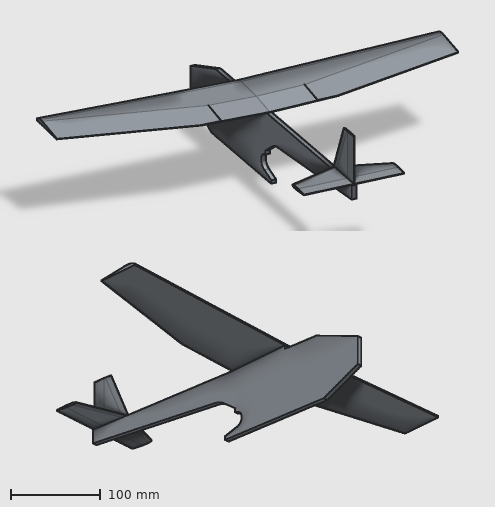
import cadquery as cq
import math

LENGTH = 400.0
FUSELAGE_THICKNESS = 6.0
BOTTOM_Z = -82.5
NOSE_TOP_Z = -22.5
NOSE_BOTTOM_Z = -57.5
NOSE_TOP_RUN = 62.5
NOSE_BOTTOM_RUN = 51.5
TAIL_END_Z = -17.0
BOOM_START = (216.0, -31.0)
BOOM_BEND = (202.0, -36.0)
BOOM_BEND_MIDDLE = (208.5, -32.5)
GRIP_X = 185.5
GRIP_Z = -63.0
GRIP_RADIUS = 10.0
GRIP_STEP_Z = -48.0
GRIP_END = (183.0, -72.5)
HEEL_X = 200.5
HEEL_HEIGHT = 4.5

HALF_SPAN = 250.0
WING_X = 110.0
WING_CHORD = 80.0
TIP_CHORD = 50.5
WING_THICKNESS = 5.0
TRAILING_THICKNESS = 1.0
NOSE_RADIUS = 15.0
NOSE_LENGTH = 9.0
RIDGE_ROOT = 47.0
RIDGE_TIP = 13.0
TAPER_Y = 60.0
ROOT_EXCESS = 5.0
WEDGE_REACH = 2.0
INCIDENCE = 3.0
DIHEDRAL = 1.5

TAIL_X = 350.0
TAIL_REAR_RIDGE_X = 385.0
STAB_THICKNESS = 3.0
STAB_HALF_SPAN = 62.5
STAB_TIP_X = 371.0
STAB_BEVEL = 4.5
FIN_THICKNESS = 2.0
FIN_HEIGHT = 57.5
FIN_TIP_X = 375.0
FIN_BEVEL = 8.25
EDGE_THICKNESS = 1.0

wing_rise = WING_CHORD * math.sin(math.radians(INCIDENCE))
wing_run = WING_CHORD * math.cos(math.radians(INCIDENCE))
half_length = HALF_SPAN / math.cos(math.radians(DIHEDRAL))


def make_fuselage():
    """Plate with a raised wing seat, a finger notch and a tapering tail boom."""
    return (
        cq.Workplane("XZ")
        .moveTo(0, NOSE_TOP_Z)
        .lineTo(NOSE_TOP_RUN, 0)
        .lineTo(WING_X, 0)
        .lineTo(WING_X, wing_rise)
        .lineTo(WING_X + wing_run, 0)
        .lineTo(LENGTH, 0)
        .lineTo(LENGTH, TAIL_END_Z)
        .lineTo(*BOOM_START)
        .threePointArc(BOOM_BEND_MIDDLE, BOOM_BEND)
        .lineTo(GRIP_X, GRIP_STEP_Z)
        .lineTo(GRIP_X, GRIP_Z + GRIP_RADIUS)
        .threePointArc((GRIP_X - GRIP_RADIUS, GRIP_Z), GRIP_END)
        .lineTo(HEEL_X, BOTTOM_Z + HEEL_HEIGHT)
        .lineTo(HEEL_X, BOTTOM_Z)
        .lineTo(NOSE_BOTTOM_RUN, BOTTOM_Z)
        .lineTo(0, NOSE_BOTTOM_Z)
        .close()
        .extrude(FUSELAGE_THICKNESS / 2, both=True)
    )


def rear_wedge(ridge_start, ridge_end, start_y, end_y, rear_run):
    """Material above the rear panel, which falls from the ridge over rear_run."""
    drop = WING_THICKNESS - TRAILING_THICKNESS

    def outline(ridge, y):
        far_x = ridge + WEDGE_REACH * rear_run
        low_z = WING_THICKNESS - WEDGE_REACH * drop
        corners = [(ridge, y, WING_THICKNESS), (far_x, y, WING_THICKNESS), (far_x, y, low_z)]
        return cq.Wire.makePolygon([cq.Vector(*corner) for corner in corners], close=True)

    return cq.Solid.makeLoft([outline(ridge_start, start_y), outline(ridge_end, end_y)], True)


def make_wing_half():
    """The +Y half: a round-nosed slab, tapered in plan, with a sloping rear panel."""
    half_angle = math.asin(NOSE_LENGTH / NOSE_RADIUS) / 2
    nose_height = WING_THICKNESS - NOSE_RADIUS * (1 - math.cos(2 * half_angle))
    nose_middle = (
        NOSE_LENGTH - NOSE_RADIUS * math.sin(half_angle),
        WING_THICKNESS - NOSE_RADIUS * (1 - math.cos(half_angle)),
    )
    slab = (
        cq.Workplane("XZ", origin=(0, -ROOT_EXCESS, 0))
        .lineTo(WING_CHORD, 0)
        .lineTo(WING_CHORD, WING_THICKNESS)
        .lineTo(NOSE_LENGTH, WING_THICKNESS)
        .threePointArc(nose_middle, (0, nose_height))
        .close()
        .extrude(-(half_length + ROOT_EXCESS))
    )
    sweep_slope = (RIDGE_ROOT - RIDGE_TIP) / (half_length - TAPER_Y)
    taper_start = half_length - (WING_CHORD - TIP_CHORD) / sweep_slope
    tip_corner = (
        cq.Workplane("XY")
        .polyline([(WING_CHORD, taper_start), (WING_CHORD, half_length), (TIP_CHORD, half_length)])
        .close()
        .extrude(WING_THICKNESS)
    )
    half = (
        slab.cut(tip_corner)
        .cut(rear_wedge(RIDGE_ROOT, RIDGE_ROOT, -ROOT_EXCESS, TAPER_Y, WING_CHORD - RIDGE_ROOT))
        .cut(rear_wedge(RIDGE_ROOT, RIDGE_TIP, TAPER_Y, half_length, TIP_CHORD - RIDGE_TIP))
    )
    half = (
        half.rotate((0, 0, 0), (1, 0, 0), DIHEDRAL)
        .rotate((0, 0, 0), (0, 1, 0), INCIDENCE)
        .translate((WING_X, 0, wing_rise))
    )
    keep = cq.Workplane("XY").box(LENGTH, HALF_SPAN, LENGTH, centered=(False, False, True))
    return half.intersect(keep)


def make_wing():
    """Both halves joined along the root, resting on the fuselage seat."""
    half = make_wing_half()
    return half.union(half.mirror("XZ"))


def make_surface(span, tip_x, bevel, thickness):
    """Tail panel spanning +Y from its root, centred on Z = 0, thinned fore and aft."""
    half = thickness / 2
    edge = EDGE_THICKNESS / 2

    def outline(front_x, y):
        upper = [(front_x, edge), (front_x + bevel, half), (TAIL_REAR_RIDGE_X, half), (LENGTH, edge)]
        lower = [(x, -z) for x, z in reversed(upper)]
        return cq.Wire.makePolygon([cq.Vector(x, y, z) for x, z in upper + lower], close=True)

    return cq.Workplane(cq.Solid.makeLoft([outline(TAIL_X, 0), outline(tip_x, span)], True))


def make_tail():
    """Stabilizer halves and the fin standing on them, as one body."""
    panel = make_surface(STAB_HALF_SPAN, STAB_TIP_X, STAB_BEVEL, STAB_THICKNESS)
    stabilizer = panel.union(panel.mirror("XZ")).translate((0, 0, STAB_THICKNESS / 2))
    fin = (
        make_surface(FIN_HEIGHT, FIN_TIP_X, FIN_BEVEL, FIN_THICKNESS)
        .rotate((0, 0, 0), (1, 0, 0), 90)
        .translate((0, 0, STAB_THICKNESS))
    )
    root_outline = fin.faces("<Z").val().outerWire()
    root = cq.Solid.extrudeLinear(root_outline, [], cq.Vector(0, 0, -STAB_THICKNESS / 2))
    return stabilizer.union(fin).union(cq.Workplane(root))


fuselage = make_fuselage()
wing = make_wing()
tail = make_tail()

result = cq.Compound.makeCompound([fuselage.val(), wing.val(), tail.val()])